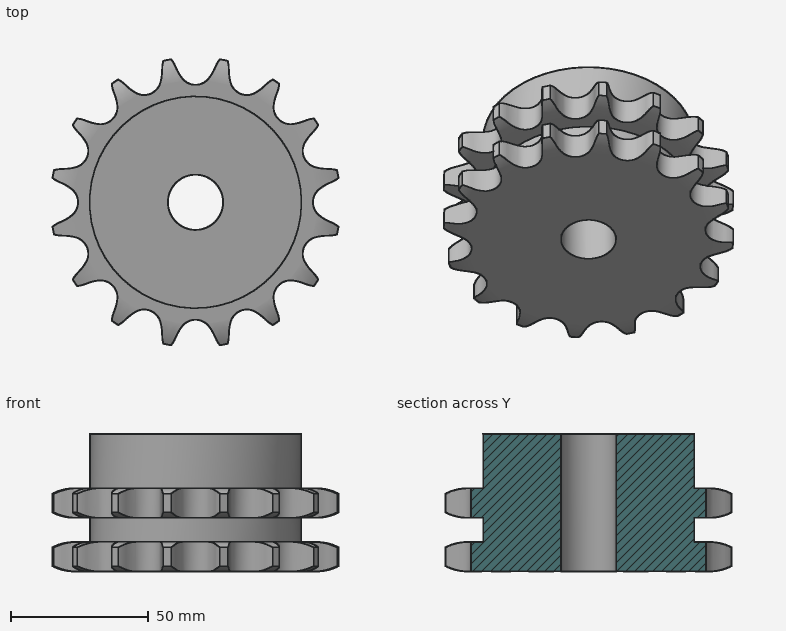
import cadquery as cq
import math

PITCH = 19.05
ROLLER_DIAMETER = 12.07
ROW_SPACING = 19.5
ROW_COUNT = 2

TOOTH_COUNT = 16
TIP_DIAMETER = 105.5
TOOTH_WIDTH = 10.8
SIDE_RELIEF = 2.0
SIDE_RADIUS = 19.0
HUB_DIAMETER = 77.0
BORE_DIAMETER = 20.0
TOTAL_HEIGHT = 50.0
CUT_MARGIN = 5.0

HALF_PITCH_ANGLE = math.pi / TOOTH_COUNT
PITCH_RADIUS = PITCH / (2 * math.sin(HALF_PITCH_ANGLE))
TIP_RADIUS = TIP_DIAMETER / 2

SEAT_RADIUS = (1.005 * ROLLER_DIAMETER + 0.0762) / 2
FLANK_RADIUS = 1.3025 * ROLLER_DIAMETER + 0.0381
SEAT_END_ANGLE = math.radians(35 + 60 / TOOTH_COUNT)
FLANK_SWEEP = math.radians(18 - 56 / TOOTH_COUNT)
TOPPING_ANGLE = math.radians(17 - 64 / TOOTH_COUNT)
FLANK_CENTER_OFFSET = 0.8 * ROLLER_DIAMETER
TOPPING_CENTER_OFFSET = 1.4 * ROLLER_DIAMETER
TOPPING_RADIUS = (
    FLANK_CENTER_OFFSET * math.cos(FLANK_SWEEP)
    + TOPPING_CENTER_OFFSET * math.cos(TOPPING_ANGLE)
    - FLANK_RADIUS
)
STRAIGHT_LENGTH = (
    TOPPING_CENTER_OFFSET * math.sin(TOPPING_ANGLE)
    - FLANK_CENTER_OFFSET * math.sin(FLANK_SWEEP)
)


def polar(center, radius, angle):
    """Point at a radius and angle from a center."""
    return (center[0] + radius * math.cos(angle), center[1] + radius * math.sin(angle))


def mirrored(point):
    """Point reflected across the Y axis."""
    return (-point[0], point[1])


def gap_cutter():
    """Prism filling the tooth gap centred on the +Y axis, one tooth width high."""
    roller_center = (0, PITCH_RADIUS)
    seat_bottom = (0, PITCH_RADIUS - SEAT_RADIUS)
    seat_end = polar(roller_center, SEAT_RADIUS, -SEAT_END_ANGLE)

    flank_center = polar(roller_center, FLANK_CENTER_OFFSET, math.pi - SEAT_END_ANGLE)
    flank_end_angle = FLANK_SWEEP - SEAT_END_ANGLE
    flank_mid = polar(flank_center, FLANK_RADIUS, flank_end_angle - FLANK_SWEEP / 2)
    flank_end = polar(flank_center, FLANK_RADIUS, flank_end_angle)

    straight_end = polar(flank_end, STRAIGHT_LENGTH, flank_end_angle + math.pi / 2)

    topping_center = polar(roller_center, TOPPING_CENTER_OFFSET, -HALF_PITCH_ANGLE)
    center_distance = math.hypot(*topping_center)
    center_direction = math.atan2(topping_center[1], topping_center[0])
    tip_offset_angle = math.acos(
        (TIP_RADIUS**2 + center_distance**2 - TOPPING_RADIUS**2)
        / (2 * TIP_RADIUS * center_distance)
    )
    tip = polar((0, 0), TIP_RADIUS, center_direction + tip_offset_angle)
    topping_start_angle = math.pi + flank_end_angle
    topping_end_angle = math.atan2(tip[1] - topping_center[1], tip[0] - topping_center[0])
    topping_mid_angle = (topping_start_angle + topping_end_angle) / 2
    topping_mid = polar(topping_center, TOPPING_RADIUS, topping_mid_angle)

    outside = (tip[0], TIP_RADIUS + CUT_MARGIN)
    seat_mid_angle = -(SEAT_END_ANGLE + math.pi / 2) / 2
    seat_mid = polar(roller_center, SEAT_RADIUS, seat_mid_angle)

    return (
        cq.Workplane("XY")
        .moveTo(*seat_bottom)
        .threePointArc(seat_mid, seat_end)
        .threePointArc(flank_mid, flank_end)
        .lineTo(*straight_end)
        .threePointArc(topping_mid, tip)
        .lineTo(*outside)
        .lineTo(*mirrored(outside))
        .lineTo(*mirrored(tip))
        .threePointArc(mirrored(topping_mid), mirrored(straight_end))
        .lineTo(*mirrored(flank_end))
        .threePointArc(mirrored(flank_mid), mirrored(seat_end))
        .threePointArc(mirrored(seat_mid), seat_bottom)
        .close()
        .extrude(TOOTH_WIDTH)
    )


def rounded_disc():
    """Disc whose two faces curve inward to the tip circle."""
    relief_length = math.sqrt(SIDE_RADIUS**2 - (SIDE_RADIUS - SIDE_RELIEF) ** 2)
    flat_radius = TIP_RADIUS - relief_length
    half_relief_angle = math.asin(relief_length / SIDE_RADIUS) / 2
    mid_radius = flat_radius + SIDE_RADIUS * math.sin(half_relief_angle)
    mid_relief = SIDE_RADIUS * (1 - math.cos(half_relief_angle))
    return (
        cq.Workplane("XZ")
        .lineTo(flat_radius, 0)
        .threePointArc((mid_radius, mid_relief), (TIP_RADIUS, SIDE_RELIEF))
        .lineTo(TIP_RADIUS, TOOTH_WIDTH - SIDE_RELIEF)
        .threePointArc((mid_radius, TOOTH_WIDTH - mid_relief), (flat_radius, TOOTH_WIDTH))
        .lineTo(0, TOOTH_WIDTH)
        .close()
        .revolve(360, (0, 0, 0), (0, 1, 0))
    )


def toothed_row():
    """One row of teeth standing on the XY plane."""
    row = rounded_disc()
    gap = gap_cutter()
    for index in range(TOOTH_COUNT):
        row = row.cut(gap.rotate((0, 0, 0), (0, 0, 1), index * 360 / TOOTH_COUNT))
    return row


def sprocket():
    """Hub carrying the tooth rows, with a through bore."""
    body = cq.Workplane("XY").circle(HUB_DIAMETER / 2).extrude(TOTAL_HEIGHT)
    row = toothed_row()
    for index in range(ROW_COUNT):
        body = body.union(row.translate((0, 0, index * ROW_SPACING)))
    bore = cq.Workplane("XY").circle(BORE_DIAMETER / 2).extrude(TOTAL_HEIGHT)
    return body.cut(bore)


result = sprocket()